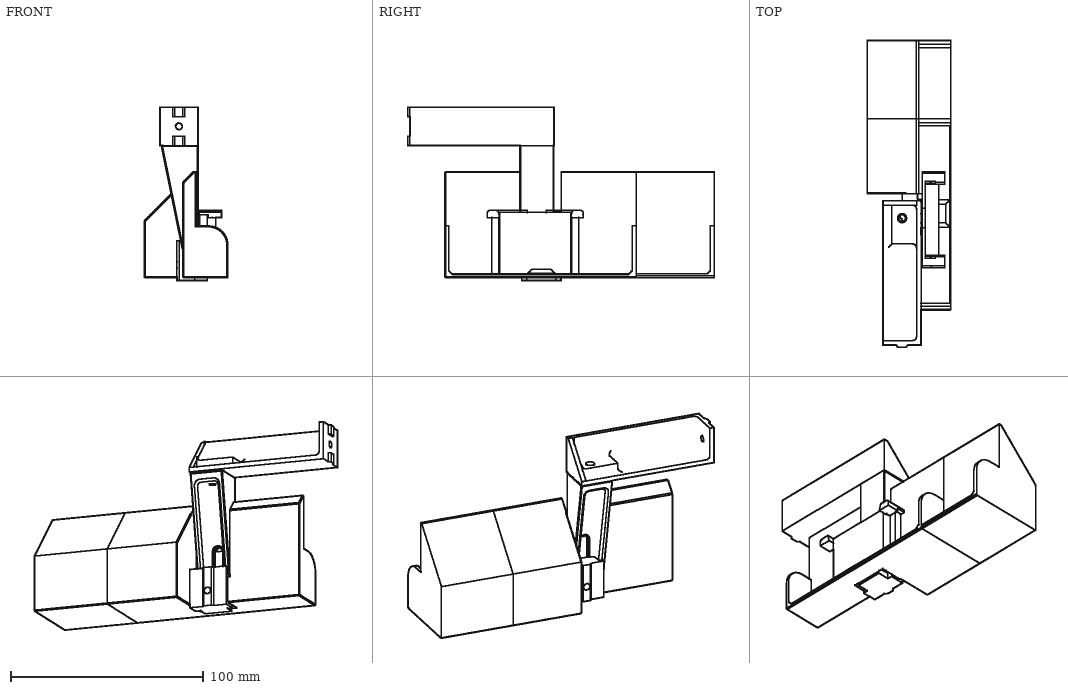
import cadquery as cq

total_width = 43.5
total_length = 159.5
total_height = 90.1
wall = 2.4
tray_size = 20.0
edge_break = 0.5
through = 319.0

base_z = 1.5
eave_z = 31.0
ridge_z = 56.5
back_x = 27.0
foot_z = 28.4
foot_radius = 10.0
plate_x = 20.1
ridge_x = ridge_z - eave_z

housing_front_y = 19.3
roof_front_y = 79.8
seam_y = 118.8
end_wall = 2.0
floor_z = base_z + end_wall
floor_chamfer = 1.6

tray_x = 8.1
tray_right_x = tray_x + tray_size
tray_z = total_height - tray_size
key_height = 1.1
tray_front_y = key_height
tray_back_y = 76.3
tray_fillet = 2.0
key_base = 6.2
key_top = 4.1
key_gap = 10.0
tray_hole = 3.4
pad_length = 20.1
pad_width = 12.8
pad_height = 4.6
tray_screw_hole = 4.6
arm_screw_hole = 3.5
screw_x = 18.2

arm_front_y = 58.2
arm_back_y = 76.1
arm_mid_y = (arm_front_y + arm_back_y) / 2
arm_top_x = 9.0
arm_toe_x = plate_x
arm_toe_z = 15.3
arm_top_chamfer = 1.0
arm_floor_x = tray_right_x - wall
pocket_width = 11.5
pocket_chamfer = 1.3
pocket_corner = 2.0
pocket_fillet = 1.9
pocket_top_z = 65.0
slot_outer = 6.0
slot_inner = 4.6
slot_center_z = 30.8
slot_step = 1.1

clip_x = 18.2
clip_back_x = 26.3
clip_front_y = 59.3
clip_back_y = roof_front_y
clip_mid_y = (clip_front_y + clip_back_y) / 2
clip_height = 20.5
tongue_x = 32.9
tongue_width = 15.0
clip_hole = 3.5
clip_hole_z = 8.1

saddle_x = 28.5
saddle_right_x = 40.4
saddle_length = 50.0
saddle_mid_y = 66.4
saddle_top_z = 36.5
saddle_thickness = 2.2
saddle_chamfer = 1.0
saddle_leg_inset = 0.2
saddle_leg_x = 32.7
hook_x = 33.3
hook_z = 32.7
saddle_groove = 10.0
bar_x = 30.3
bar_right_x = 37.3
bar_length = 36.9
notch_flare = 1.0
slot_right_x = 35.4
slot_length = 38.0

boss_length = 14.2
boss_x = bar_right_x
boss_height = 2.4
boss_rim = 0.2


def box(x0, x1, y0, y1, z0, z1):
    """Axis-aligned block between two corners."""
    return cq.Workplane("XY").box(x1 - x0, y1 - y0, z1 - z0, centered=False).translate((x0, y0, z0))


def housing_profile(y_front, y_back):
    """Roofed body with a round-cornered foot, between two Y positions."""
    return (
        cq.Workplane("XZ", origin=(0, y_front, 0))
        .moveTo(0, base_z)
        .lineTo(0, eave_z)
        .lineTo(ridge_x, ridge_z)
        .lineTo(back_x, ridge_z)
        .lineTo(back_x, foot_z)
        .lineTo(total_width - foot_radius, foot_z)
        .radiusArc((total_width, foot_z - foot_radius), foot_radius)
        .lineTo(total_width, base_z)
        .close()
        .extrude(y_front - y_back)
    )


def foot_recess(y_front, y_back, chamfer_selector):
    """Open-sided recess in the foot, with chamfered floor ends."""
    recess = box(back_x, through, y_front, y_back, floor_z, foot_z + wall)
    return recess.faces("<Z").edges(chamfer_selector).chamfer(floor_chamfer)


def break_foot_edge(body, y):
    """Break the open +X edge of the foot floor that passes the given Y."""
    edge = cq.NearestToPointSelector((total_width, y, floor_z))
    return body.edges("|Y").edges(edge).chamfer(edge_break)


def make_rear_housing():
    body = housing_profile(seam_y, total_length)
    body = body.edges("|Y and <Z").chamfer(edge_break)
    body = body.cut(foot_recess(seam_y, total_length - end_wall, ">Y"))
    return break_foot_edge(body, (seam_y + total_length) / 2)


def floor_boss():
    """Low boss with 45 degree sides, at the +X edge of the foot floor."""
    boss = box(
        boss_x, total_width - edge_break, clip_mid_y - boss_length / 2, clip_mid_y + boss_length / 2,
        floor_z, floor_z + boss_height,
    )
    return boss.faces(">Z").edges(">X or >Y or <Y").chamfer(boss_height - boss_rim)


def make_front_housing():
    plate_side = box(plate_x, through, 0, through, 0, through)
    plate_eave = cq.NearestToPointSelector((plate_x, housing_front_y, eave_z + plate_x))
    front = housing_profile(housing_front_y, roof_front_y).intersect(plate_side)
    front = front.edges("|Y").edges(plate_eave).chamfer(edge_break)
    front = front.edges("|Y and <Z").chamfer(edge_break)
    front = front.faces("<Y").edges().chamfer(edge_break)

    rear = housing_profile(roof_front_y, seam_y).edges("|Y and <Z").chamfer(edge_break)
    roofed = rear.cut(plate_side).faces("<Y").edges("not >X").chamfer(edge_break)
    body = front.union(rear.intersect(plate_side)).union(roofed)

    body = body.cut(foot_recess(housing_front_y + end_wall, seam_y - end_wall, ">Y or <Y"))
    body = break_foot_edge(body, clip_mid_y)

    body = body.cut(box(plate_x, tongue_x, clip_front_y, roof_front_y, 0, ridge_z))
    body = body.cut(box(plate_x, tray_right_x, arm_front_y, roof_front_y, arm_toe_z, ridge_z))
    return body.union(floor_boss())


def key(height):
    """Trapezoidal locating ridge standing on the XZ plane toward -Y, centred in X, rising from Z = 0."""
    return (
        cq.Workplane("XY")
        .polyline([
            (-key_base / 2, 0),
            (-key_top / 2, -key_height),
            (key_top / 2, -key_height),
            (key_base / 2, 0),
        ])
        .close()
        .extrude(height)
    )


def make_tray():
    mid_x = tray_x + tray_size / 2
    body = box(tray_x, tray_right_x, tray_front_y, tray_back_y, tray_z, total_height)

    inner_x = tray_right_x - wall
    inner_y = tray_back_y - wall
    inner_z = tray_z + wall
    pad_z = inner_z + pad_height
    cavity = box(-through, inner_x, tray_front_y + wall, inner_y, inner_z, through)
    cavity = cavity.cut(box(inner_x - pad_width, through, inner_y - pad_length, through, 0, pad_z))
    pad_top = cavity.faces(cq.NearestToPointSelector((inner_x, inner_y, pad_z)))
    rounded = cavity.edges("|Z and >X").add(cavity.faces("<Z").edges("not(<X or >Y)"))
    rounded = rounded.add(pad_top.edges(">X or >Y"))
    body = body.cut(rounded.fillet(tray_fillet))

    back_slope = (
        cq.Workplane("XZ", origin=(0, tray_back_y + 1.6, 0))
        .polyline([
            (tray_x, inner_z),
            (inner_x, total_height),
            (tray_x, total_height),
        ])
        .close()
        .extrude(wall + 1.6)
    )
    body = body.cut(back_slope)

    key_part_height = (tray_size - key_gap) / 2
    for z in (tray_z, total_height - key_part_height):
        body = body.union(key(key_part_height).translate((mid_x, tray_front_y, z)))

    front_hole = (
        cq.Workplane("XZ", origin=(mid_x, 0, tray_z + tray_size / 2))
        .circle(tray_hole / 2)
        .extrude(-tray_front_y - wall - 1.6)
    )
    return body.cut(front_hole).cut(screw_bore(tray_screw_hole))


def screw_bore(diameter):
    """Vertical hole for the screw that joins the tray to the arm."""
    return (
        cq.Workplane("XY", origin=(screw_x, arm_mid_y, pocket_top_z - wall))
        .circle(diameter / 2)
        .extrude(through)
    )


def arm_slot(width, depth):
    """Arched slot cut from the pocket floor into the arm's back, open at the bottom."""
    half = width / 2
    return (
        cq.Workplane("YZ", origin=(arm_floor_x, 0, 0))
        .moveTo(arm_mid_y - half, 0)
        .lineTo(arm_mid_y - half, slot_center_z)
        .radiusArc((arm_mid_y + half, slot_center_z), half)
        .lineTo(arm_mid_y + half, 0)
        .close()
        .extrude(depth)
    )


def make_arm():
    body = (
        cq.Workplane("XZ", origin=(0, arm_front_y, 0))
        .polyline([
            (arm_top_x, tray_z),
            (tray_right_x, tray_z),
            (tray_right_x, arm_toe_z),
            (arm_toe_x, arm_toe_z),
        ])
        .close()
        .extrude(arm_front_y - arm_back_y)
    )
    body = body.edges("not(<Z or |Y)").chamfer(edge_break)
    body = body.edges("<X").chamfer(arm_top_chamfer)
    pocket = box(
        0, arm_floor_x, arm_mid_y - pocket_width / 2, arm_mid_y + pocket_width / 2,
        -tray_size, pocket_top_z,
    )
    pocket = pocket.edges("|X and >Z").fillet(pocket_corner)
    pocket = pocket.faces(">X").edges().fillet(pocket_fillet)
    body = body.cut(pocket)

    slant_normal = (arm_toe_z - tray_z, 0, arm_top_x - arm_toe_x)
    rim = cq.selectors.BoxSelector(
        (0, arm_front_y + wall / 2, 0),
        (arm_floor_x, arm_back_y - wall / 2, pocket_top_z + wall / 2),
    )
    body = body.faces(cq.DirectionMinMaxSelector(cq.Vector(*slant_normal))).edges(rim).chamfer(pocket_chamfer)
    body = body.cut(arm_slot(slot_outer, slot_step))
    body = body.cut(arm_slot(slot_inner, wall))
    body = body.cut(screw_bore(arm_screw_hole))
    return body.cut(box(0, clip_back_x, clip_front_y, clip_back_y, 0, clip_height))


def make_clip():
    body = box(clip_x, clip_back_x, clip_front_y, clip_back_y, 0, clip_height)
    tongue = box(
        clip_back_x, tongue_x, clip_mid_y - tongue_width / 2, clip_mid_y + tongue_width / 2,
        0, floor_z,
    )
    ridge = key(clip_height).rotate((0, 0, 0), (0, 0, 1), -90).translate((clip_x, clip_mid_y, 0))
    hole = (
        cq.Workplane("YZ", origin=(0, clip_mid_y, clip_hole_z))
        .circle(clip_hole / 2)
        .extrude(clip_back_x)
    )
    return body.union(tongue).union(ridge).cut(hole)


def make_bar():
    return box(
        bar_x, bar_right_x, saddle_mid_y - bar_length / 2, saddle_mid_y + bar_length / 2,
        floor_z, saddle_top_z - saddle_thickness / 2,
    )


def saddle_notch(length, x1):
    """Opening for the bar, with ends that lean outward toward the top."""
    half = length / 2
    return (
        cq.Workplane("YZ", origin=(bar_x, 0, 0))
        .polyline([
            (saddle_mid_y - half, 0),
            (saddle_mid_y - half, hook_z),
            (saddle_mid_y - half - notch_flare, saddle_top_z),
            (saddle_mid_y + half + notch_flare, saddle_top_z),
            (saddle_mid_y + half, hook_z),
            (saddle_mid_y + half, 0),
        ])
        .close()
        .extrude(x1 - bar_x)
    )


def make_saddle():
    y0 = saddle_mid_y - saddle_length / 2
    y1 = saddle_mid_y + saddle_length / 2
    plate_z = saddle_top_z - saddle_thickness
    body = box(saddle_x, saddle_right_x, y0, y1, plate_z, saddle_top_z)
    body = body.union(box(hook_x, saddle_right_x, y0, y1, hook_z, plate_z))
    body = body.edges("|X and >Z").chamfer(saddle_chamfer)
    body = body.union(box(saddle_x + saddle_leg_inset, saddle_leg_x, y0 + wall, y1 - wall, floor_z, plate_z))

    body = body.cut(saddle_notch(bar_length, through)).cut(saddle_notch(slot_length, slot_right_x))
    groove = (
        cq.Workplane("YZ", origin=(saddle_x - 1.6, arm_mid_y, saddle_top_z))
        .circle(saddle_groove / 2)
        .extrude(bar_x - saddle_x + 1.6)
    )
    return body.cut(groove)


rear_housing = make_rear_housing()
front_housing = make_front_housing()
tray = make_tray()
arm = make_arm()
clip = make_clip()
saddle = make_saddle()
bar = make_bar()

result = cq.Compound.makeCompound([
    rear_housing.val(),
    front_housing.val(),
    tray.val(),
    arm.val(),
    clip.val(),
    saddle.val(),
    bar.val(),
])